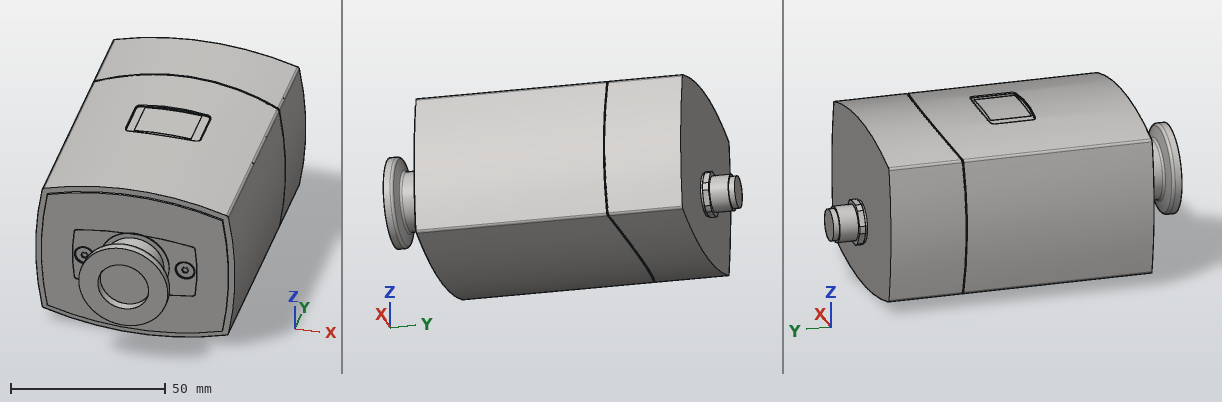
import cadquery as cq
import math


CASE_WIDTH = 67.0
CASE_HEIGHT = 56.0
CASE_CORNER_X = 31.2
CASE_CORNER_Z = 23.3
CASE_CORNER_RADIUS = 1.0
CASE_FRONT_Y = 15.1
CASE_REAR_Y = 104.2

PANEL_INSET = 2.1
PANEL_FRONT_Y = 14.4

JOINT_MIDDLE_Y = 83.2
JOINT_SAG = 4.5
JOINT_GAP = 0.5
JOINT_DEPTH = 0.5

WINDOW_WIDTH = 25.3
WINDOW_Y = 56.3
WINDOW_END_LENGTH = 15.2
WINDOW_BULGE = 0.7
WINDOW_CORNER_RADIUS = 1.6
WINDOW_GROOVE_WIDTH = 0.3
WINDOW_GROOVE_DEPTH = 0.5
FRAME_DEPTH = 0.3
SCREEN_WIDTH = 19.1
SCREEN_LENGTH = 13.8
SCREEN_DEPTH = 0.2

PLATE_WIDTH = 41.7
PLATE_HEIGHT = 22.3
PLATE_CORNER_X = 20.1
PLATE_CORNER_Z = 9.4
PLATE_CORNER_RADIUS = 1.0
PLATE_THICKNESS = 3.5
PLATE_GAP = 0.1

COLLAR_DIAMETER = 23.3
COLLAR_FRONT_Y = 14.0
TUBE_DIAMETER = 19.8
FLANGE_DIAMETER = 29.9
RIM_THICKNESS = 3.1
FLANGE_CONE_ANGLE = 15
RIM_FILLET = 1.0
TUBE_FILLET = 0.8
BORE_DIAMETER = 17.0
BORE_DEPTH = 3.0

SCREW_X = 16.9
HEAD_DIAMETER = 6.0
COUNTERSINK_DIAMETER = 6.7
SOCKET_ACROSS_FLATS = 2.0
SOCKET_DEPTH = 0.6

CONNECTOR_Z = -6.9
BASE_DIAMETER = 14.0
BASE_REAR_Y = 104.9
NUT_ACROSS_FLATS = 14.0
NUT_CORNER_DIAMETER = 15.0
NUT_REAR_Y = 106.9
THREAD_DIAMETER = 12.0
THREAD_REAR_Y = 113.1
TIP_DIAMETER = 10.6
TIP_REAR_Y = 115.1


def plane_at(y, x=0, z=0):
    """Workplane across the Y axis, with its own axes along X and Z."""
    return cq.Workplane("XZ", origin=(x, y, z))


def cylinder(diameter, front_y, rear_y, x=0, z=0):
    return plane_at(front_y, x, z).circle(diameter / 2).extrude(front_y - rear_y)


def hexagon_prism(across_flats, front_y, rear_y, x=0, z=0):
    across_corners = across_flats / math.cos(math.pi / 6)
    return plane_at(front_y, x, z).polygon(6, across_corners).extrude(front_y - rear_y)


def barrel_prism(width, height, corner_x, corner_z, front_y, rear_y, inset=0):
    """Prism along Y whose outline is four outward-bowed arcs, optionally shrunk by an inset."""
    outline = (
        plane_at(front_y)
        .moveTo(-corner_x, corner_z)
        .threePointArc((0, height / 2), (corner_x, corner_z))
        .threePointArc((width / 2, 0), (corner_x, -corner_z))
        .threePointArc((0, -height / 2), (-corner_x, -corner_z))
        .threePointArc((-width / 2, 0), (-corner_x, corner_z))
        .close()
    )
    if inset:
        outline = outline.offset2D(-inset, "intersection")
    return outline.extrude(front_y - rear_y)


def case_prism(front_y, rear_y, inset=0):
    return barrel_prism(
        CASE_WIDTH, CASE_HEIGHT, CASE_CORNER_X, CASE_CORNER_Z, front_y, rear_y, inset
    )


def case_block():
    """Housing and cap as one block with rounded long corners."""
    return case_prism(CASE_FRONT_Y, CASE_REAR_Y).edges("|Y").fillet(CASE_CORNER_RADIUS)


def behind_joint(middle_y):
    """Everything behind a joint surface that bows toward the rear in the middle."""
    half_width = CASE_WIDTH / 2
    side_y = middle_y - JOINT_SAG
    return (
        cq.Workplane("XY")
        .moveTo(-half_width, side_y)
        .threePointArc((0, middle_y), (half_width, side_y))
        .lineTo(half_width, CASE_REAR_Y)
        .lineTo(-half_width, CASE_REAR_Y)
        .close()
        .extrude(CASE_HEIGHT / 2, both=True)
    )


def below_top(prism, depth):
    """The part of a vertical prism that lies within a depth below the curved top of the case."""
    return prism.cut(case_prism(CASE_FRONT_Y, CASE_REAR_Y, depth))


def window_prism(inset=0):
    """Vertical prism of the window outline: straight sides and bowed ends, rounded corners."""
    half_width = WINDOW_WIDTH / 2 - inset
    half_end = WINDOW_END_LENGTH / 2 - inset
    half_middle = half_end + WINDOW_BULGE
    return (
        cq.Workplane("XY", origin=(0, WINDOW_Y, 0))
        .moveTo(-half_width, half_end)
        .threePointArc((0, half_middle), (half_width, half_end))
        .lineTo(half_width, -half_end)
        .threePointArc((0, -half_middle), (-half_width, -half_end))
        .close()
        .extrude(CASE_HEIGHT / 2)
        .edges("|Z")
        .fillet(WINDOW_CORNER_RADIUS - inset)
    )


def window_recess():
    """Recess that follows the curved top: a rim groove, a frame and a slightly raised screen."""
    frame = window_prism(WINDOW_GROOVE_WIDTH)
    groove = window_prism().cut(frame)
    screen = (
        cq.Workplane("XY", origin=(0, WINDOW_Y, 0))
        .rect(SCREEN_WIDTH, SCREEN_LENGTH)
        .extrude(CASE_HEIGHT / 2)
    )
    return (
        below_top(groove, WINDOW_GROOVE_DEPTH)
        .union(below_top(frame.cut(screen), FRAME_DEPTH))
        .union(below_top(screen, SCREEN_DEPTH))
    )


def mounting_plate(clearance=0):
    """Plate of the sensor; with a clearance, the pocket that it sits in."""
    return (
        barrel_prism(
            PLATE_WIDTH + 2 * clearance,
            PLATE_HEIGHT + 2 * clearance,
            PLATE_CORNER_X + clearance,
            PLATE_CORNER_Z + clearance,
            PANEL_FRONT_Y,
            PANEL_FRONT_Y + PLATE_THICKNESS,
        )
        .edges("|Y")
        .fillet(PLATE_CORNER_RADIUS + clearance)
    )


def make_housing():
    front = case_block().cut(behind_joint(JOINT_MIDDLE_Y - JOINT_GAP))
    neck = case_prism(CASE_FRONT_Y, CASE_REAR_Y, JOINT_DEPTH).cut(behind_joint(JOINT_MIDDLE_Y))
    panel = case_prism(PANEL_FRONT_Y, CASE_FRONT_Y, PANEL_INSET)
    return (
        front.cut(window_recess())
        .union(neck.intersect(behind_joint(JOINT_MIDDLE_Y - JOINT_GAP)))
        .union(panel)
        .cut(mounting_plate(PLATE_GAP))
    )


def make_connector():
    base = cylinder(BASE_DIAMETER, CASE_REAR_Y, BASE_REAR_Y, z=CONNECTOR_Z)
    nut = hexagon_prism(NUT_ACROSS_FLATS, BASE_REAR_Y, NUT_REAR_Y, z=CONNECTOR_Z).intersect(
        cylinder(NUT_CORNER_DIAMETER, BASE_REAR_Y, NUT_REAR_Y, z=CONNECTOR_Z)
    )
    thread = cylinder(THREAD_DIAMETER, NUT_REAR_Y, THREAD_REAR_Y, z=CONNECTOR_Z)
    tip = cylinder(TIP_DIAMETER, THREAD_REAR_Y, TIP_REAR_Y, z=CONNECTOR_Z)
    return base.union(nut).union(thread).union(tip)


def make_cap():
    return case_block().intersect(behind_joint(JOINT_MIDDLE_Y)).union(make_connector())


def flange_and_tube():
    """Turned tube with a clamping flange whose back face is a cone."""
    rim_radius = FLANGE_DIAMETER / 2
    tube_radius = TUBE_DIAMETER / 2
    cone_rise = (rim_radius - tube_radius) * math.tan(math.radians(FLANGE_CONE_ANGLE))
    cone_end_y = RIM_THICKNESS + cone_rise
    turned = (
        cq.Workplane("XY")
        .polyline(
            [
                (0, 0),
                (rim_radius, 0),
                (rim_radius, RIM_THICKNESS),
                (tube_radius, cone_end_y),
                (tube_radius, PANEL_FRONT_Y),
                (0, PANEL_FRONT_Y),
            ]
        )
        .close()
        .revolve(360, (0, 0, 0), (0, 1, 0))
    )
    rim_edge = cq.selectors.NearestToPointSelector((0, RIM_THICKNESS, 0))
    tube_edge = cq.selectors.NearestToPointSelector((0, cone_end_y, 0))
    turned = turned.edges(tube_edge).fillet(TUBE_FILLET).edges(rim_edge).fillet(RIM_FILLET)
    return turned.cut(cylinder(BORE_DIAMETER, 0, BORE_DEPTH))


def screw_head_recesses(x):
    """V groove around a countersunk screw head, and the hexagon socket in the head."""
    head_radius = HEAD_DIAMETER / 2
    rim_radius = COUNTERSINK_DIAMETER / 2
    groove_depth = rim_radius - head_radius
    groove = (
        cq.Workplane("XY", origin=(x, PANEL_FRONT_Y, 0))
        .polyline([(head_radius, 0), (rim_radius, 0), (head_radius, groove_depth)])
        .close()
        .revolve(360, (0, 0, 0), (0, 1, 0))
    )
    socket = hexagon_prism(SOCKET_ACROSS_FLATS, PANEL_FRONT_Y, PANEL_FRONT_Y + SOCKET_DEPTH, x)
    return groove.union(socket)


def make_sensor():
    collar = cylinder(COLLAR_DIAMETER, COLLAR_FRONT_Y, PANEL_FRONT_Y)
    sensor = mounting_plate().union(collar).union(flange_and_tube())
    for x in (-SCREW_X, SCREW_X):
        sensor = sensor.cut(screw_head_recesses(x))
    return sensor


housing = make_housing().solids()
cap = make_cap().solids()
sensor = make_sensor().solids()

result = cq.Compound.makeCompound([housing.val(), cap.val(), sensor.val()])